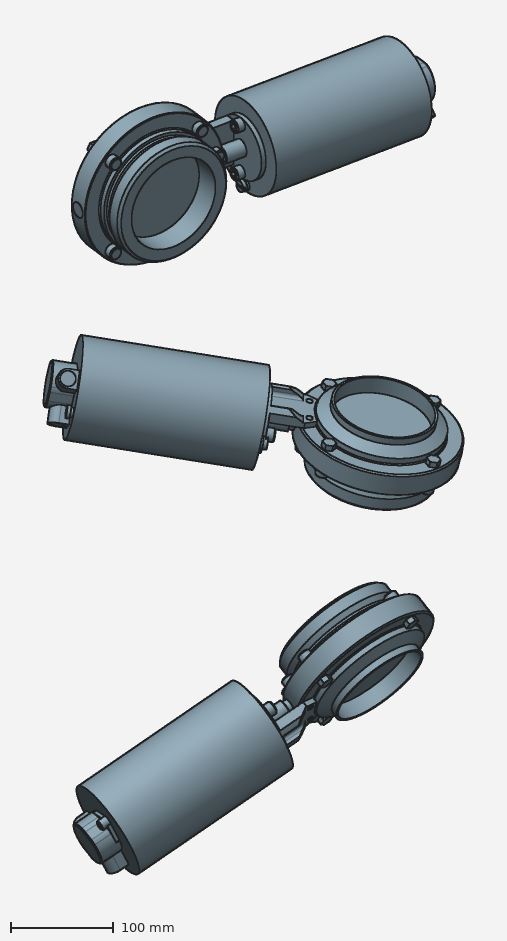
import cadquery as cq
import math


flange_radius = 83.0
flange_left = -12.5
flange_right = 12.0
rim_chamfer_left = 1.5
rim_chamfer_right = 1.0
neck_radius = 65.5
root_chamfer = 1.2
bore_radius = 50.0
pipe_radius = 52.5
pipe_end = -34.5
cone_small_end = -27.0
cone_large_end = -19.7
neck_end = 19.0
groove_radius = 62.0
groove_end = 22.5
collar_start = 28.8
collar_end = 44.0
collar_chamfer = 3.0
disc_half_thickness = 16.5
pivot_radius = 8.2

flange_bolt_offset = 51.8
screw_head_radius = 7.0
screw_head_end = 20.5
screw_head_chamfer = 1.2
nut_across_flats = 12.5
nut_end = -18.5

actuator_diameter = 104.0
actuator_radius = actuator_diameter / 2
actuator_front = 117.0
actuator_back = 303.0

plate_radius = 34.5
plate_front = 111.8
plate_screw_offset = plate_radius - screw_head_radius
plate_screw_front = 102.7
socket_across_flats = 6.5
socket_depth = 4.0
coupling_radius = 9.5
coupling_front = 88.5
stem_radius = 7.5

bracket_half_width = 25.5
bracket_back_face = -12.5
web_face = -18.5
web_half_width = 12.7
web_fillet = 3.5
rib_foot_half_width = web_half_width + web_fillet
rib_top_half_width = 19.7
rib_bevel_depth = 1.5
ramp_start = 77.5
ramp_end = 93.5
bracket_tip = 64.0
tip_half_width = 19.5
tip_clearance_radius = 66.5
tip_corner_y = 76.0
bracket_screw_y = 71.5
bracket_screw_z = 14.8
bracket_screw_radius = 3.3
bracket_screw_recess = 0.5

boss_radius = 23.5
boss_end = 328.0
boss_chamfer = 1.2
boss_flat_offset = 22.0
boss_flat_blend = 12.5
lug_half_width = 19.7
lug_base_z = 13.5
lug_thickness = 4.0
lug_tip_radius = 5.0
lug_tip_z = 27.0
lug_screw_radius = 5.5
lug_screw_end = 313.0
elbow_half_width = 10.0
elbow_reach = 39.0
elbow_height = 20.0
elbow_port_radius = 8.0
elbow_port_depth = 0.5

plug_z = -44.0
vent_neck_radius = 5.0
vent_neck_end = 305.7
vent_head_radius = 6.5
vent_head_end = 309.5
plug_collar_radius = 7.0
plug_collar_front = 114.5
plug_head_radius = 6.0
plug_head_front = 110.0
plug_slot_width = 1.5
plug_slot_depth = 2.5


def cylinder_x(radius, x_start, x_end, y=0, z=0):
    return cq.Workplane("YZ", origin=(x_start, y, z)).circle(radius).extrude(x_end - x_start)


def cylinder_y(radius, y_start, y_end, z=0):
    return cq.Workplane("XZ", origin=(0, y_start, z)).circle(radius).extrude(y_start - y_end)


def hexagon_diameter(across_flats):
    return across_flats / math.cos(math.pi / 6)


def valve_body():
    outline = [
        (pipe_end, 0),
        (pipe_end, pipe_radius),
        (cone_small_end, pipe_radius),
        (cone_large_end, neck_radius),
        (flange_left - root_chamfer, neck_radius),
        (flange_left, neck_radius + root_chamfer),
        (flange_left, flange_radius - rim_chamfer_left),
        (flange_left + rim_chamfer_left, flange_radius),
        (flange_right - rim_chamfer_right, flange_radius),
        (flange_right, flange_radius - rim_chamfer_right),
        (flange_right, neck_radius + root_chamfer),
        (flange_right + root_chamfer, neck_radius),
        (neck_end, neck_radius),
        (neck_end, groove_radius),
        (groove_end, groove_radius),
        (collar_start, neck_radius),
        (collar_end - collar_chamfer, neck_radius),
        (collar_end, neck_radius - collar_chamfer),
        (collar_end, 0),
    ]
    body = cq.Workplane("XY").polyline(outline).close().revolve(360, (0, 0, 0), (1, 0, 0))
    body = body.cut(cylinder_x(bore_radius, pipe_end, -disc_half_thickness))
    body = body.cut(cylinder_x(bore_radius, disc_half_thickness, collar_end))
    return body.union(cylinder_y(pivot_radius, -flange_radius, -neck_radius))


def body_screw_head(y, z):
    head = cylinder_x(screw_head_radius, flange_right, screw_head_end, y, z)
    return head.faces(">X").chamfer(screw_head_chamfer)


def flange_bolt(y, z):
    nut = (
        cq.Workplane("YZ", origin=(nut_end, y, z))
        .polygon(6, hexagon_diameter(nut_across_flats))
        .extrude(flange_left - nut_end)
    )
    return body_screw_head(y, z).union(nut)


def plate_screw(z):
    head = cylinder_y(screw_head_radius, plate_screw_front, plate_front, z=z)
    head = head.faces("<Y").chamfer(screw_head_chamfer)
    socket = (
        cq.Workplane("XZ", origin=(0, plate_screw_front, z))
        .polygon(6, hexagon_diameter(socket_across_flats))
        .extrude(-socket_depth)
    )
    return head.cut(socket)


def bracket():
    rib_top_x = -math.sqrt(plate_radius**2 - rib_top_half_width**2)
    blend = web_fillet * (1 - math.cos(math.pi / 4))
    section = (
        cq.Workplane("XZ", origin=(0, plate_front, 0))
        .moveTo(bracket_back_face, -bracket_half_width)
        .lineTo(-plate_radius, -bracket_half_width)
        .lineTo(-plate_radius, -rib_top_half_width)
        .lineTo(rib_top_x, -rib_top_half_width)
        .lineTo(rib_top_x + rib_bevel_depth, -rib_foot_half_width)
        .lineTo(web_face - web_fillet, -rib_foot_half_width)
        .threePointArc((web_face - blend, blend - rib_foot_half_width), (web_face, -web_half_width))
        .lineTo(web_face, web_half_width)
        .threePointArc(
            (web_face - blend, rib_foot_half_width - blend),
            (web_face - web_fillet, rib_foot_half_width),
        )
        .lineTo(rib_top_x + rib_bevel_depth, rib_foot_half_width)
        .lineTo(rib_top_x, rib_top_half_width)
        .lineTo(-plate_radius, rib_top_half_width)
        .lineTo(-plate_radius, bracket_half_width)
        .lineTo(bracket_back_face, bracket_half_width)
        .close()
        .extrude(plate_front - bracket_tip)
    )
    rounded = section.intersect(cylinder_y(plate_radius, bracket_tip, plate_front))

    ramp_slope = (ramp_end - ramp_start) / (web_face - rib_top_x)
    ramp_far_y = ramp_start + ramp_slope * (web_face + plate_radius)
    side = (
        cq.Workplane("XY")
        .polyline([
            (bracket_back_face, bracket_tip),
            (web_face, bracket_tip),
            (web_face, ramp_start),
            (-plate_radius, ramp_far_y),
            (-plate_radius, plate_front),
            (bracket_back_face, plate_front),
        ])
        .close()
        .extrude(bracket_half_width, both=True)
    )
    face = (
        cq.Workplane("YZ")
        .polyline([
            (plate_front, -bracket_half_width),
            (tip_corner_y, -bracket_half_width),
            (bracket_tip, -tip_half_width),
            (bracket_tip, tip_half_width),
            (tip_corner_y, bracket_half_width),
            (plate_front, bracket_half_width),
        ])
        .close()
        .extrude(-plate_radius)
    )
    arm = rounded.intersect(side).intersect(face)
    for z in (-bracket_screw_z, bracket_screw_z):
        recess_floor = web_face + bracket_screw_recess
        arm = arm.cut(cylinder_x(bracket_screw_radius, web_face, recess_floor, bracket_screw_y, z))
    return arm.cut(cylinder_x(tip_clearance_radius, web_face, bracket_back_face))


def cable_boss():
    boss = cylinder_y(boss_radius, actuator_back, boss_end)
    flats = cq.Workplane("XY").box(2 * boss_radius, 2 * boss_end, 2 * boss_flat_offset)
    boss = boss.intersect(flats)
    boss = boss.edges("|Y").edges(">Z or <Z").fillet(boss_flat_blend)
    return boss.faces(">Y").chamfer(boss_chamfer)


def lug():
    run = lug_half_width
    rise = lug_tip_z - lug_base_z
    tangent_angle = math.atan2(rise, run) + math.asin(lug_tip_radius / math.hypot(run, rise))
    tangent_x = lug_tip_radius * math.sin(tangent_angle)
    tangent_z = lug_tip_z + lug_tip_radius * math.cos(tangent_angle)
    plate = (
        cq.Workplane("XZ", origin=(0, actuator_back, 0))
        .moveTo(-lug_half_width, lug_base_z)
        .lineTo(-tangent_x, tangent_z)
        .threePointArc((0, lug_tip_z + lug_tip_radius), (tangent_x, tangent_z))
        .lineTo(lug_half_width, lug_base_z)
        .close()
        .extrude(-lug_thickness)
    )
    screw = cylinder_y(lug_screw_radius, actuator_back, lug_screw_end, z=lug_tip_z)
    return plate.union(screw.faces(">Y").chamfer(screw_head_chamfer))


def elbow(angle):
    round_centre_y = actuator_back + elbow_height - elbow_half_width
    arm = (
        cq.Workplane("YZ")
        .moveTo(actuator_back, -elbow_half_width)
        .lineTo(round_centre_y, -elbow_half_width)
        .threePointArc(
            (actuator_back + elbow_height, 0),
            (round_centre_y, elbow_half_width),
        )
        .lineTo(actuator_back, elbow_half_width)
        .close()
        .extrude(elbow_reach)
    )
    port = cylinder_x(elbow_port_radius, elbow_reach - elbow_port_depth, elbow_reach, round_centre_y)
    return arm.cut(port).rotate((0, 0, 0), (0, 1, 0), angle)


def vent_plug():
    neck = cylinder_y(vent_neck_radius, actuator_back, vent_neck_end, z=plug_z)
    return neck.union(cylinder_y(vent_head_radius, vent_neck_end, vent_head_end, z=plug_z))


def slotted_plug():
    collar = cylinder_y(plug_collar_radius, plug_collar_front, actuator_front, z=plug_z)
    head = cylinder_y(plug_head_radius, plug_head_front, plug_collar_front, z=plug_z)
    slot = (
        cq.Workplane("XZ", origin=(0, plug_head_front, plug_z))
        .rect(2 * plug_head_radius, plug_slot_width)
        .extrude(-plug_slot_depth)
    )
    return collar.union(head.cut(slot))


result = valve_body()

for bolt_y in (-flange_bolt_offset, flange_bolt_offset):
    for bolt_z in (-flange_bolt_offset, flange_bolt_offset):
        result = result.union(flange_bolt(bolt_y, bolt_z))
for screw_z in (-bracket_screw_z, bracket_screw_z):
    result = result.union(body_screw_head(bracket_screw_y, screw_z))

result = result.union(cylinder_y(actuator_radius, actuator_front, actuator_back))
result = result.union(cylinder_y(plate_radius, plate_front, actuator_front))
result = result.union(cylinder_y(coupling_radius, coupling_front, plate_front))
result = result.union(cylinder_y(stem_radius, neck_radius, coupling_front))
result = result.union(bracket())
for screw_z in (-plate_screw_offset, plate_screw_offset):
    result = result.union(plate_screw(screw_z))

result = result.union(cable_boss())
result = result.union(lug())
for elbow_angle in (45, 135):
    result = result.union(elbow(elbow_angle))
result = result.union(vent_plug())
result = result.union(slotted_plug())